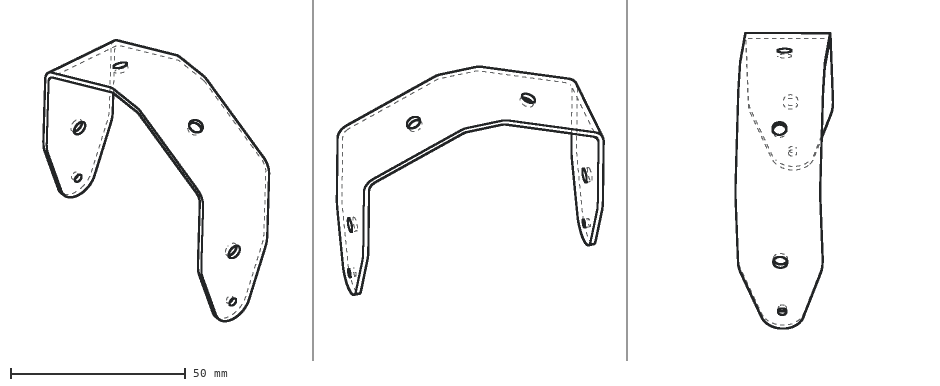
import cadquery as cq
import math

SPAN = 72.15
STRIP_WIDTH = 24.25
THICKNESS = 1.6
INNER_BEND_RADIUS = 3.0
OUTER_BEND_RADIUS = INNER_BEND_RADIUS + THICKNESS
CROWN_HALF_LENGTH = 6.2
SLOPE_ANGLE = 23.8
TILT_ANGLE = 1.7

TIP_RADIUS = 6.35
TIP_Z = -57.5
TAPER_ANGLE = 18.3
TAPER_CORNER_RADIUS = 12.0

LARGE_HOLE_DIAMETER = 4.05
SMALL_HOLE_DIAMETER = 2.4
LEG_HOLE_Z = -39.1
SHOULDER_HOLE_X = 17.3

half_span = SPAN / 2
half_width = STRIP_WIDTH / 2
slope = math.radians(SLOPE_ANGLE)
taper = math.radians(TAPER_ANGLE)
leg_bottom_z = TIP_Z - TIP_RADIUS


def arch_layer(offset, bend_radius):
    """Solid filling the arch inside a surface set in by offset from the outer one."""
    side_x = half_span - offset
    crown_x = CROWN_HALF_LENGTH - offset * math.tan(slope / 2)
    shoulder_z = -offset - (side_x - crown_x) * math.tan(slope)
    outline = [
        (-side_x, leg_bottom_z),
        (-side_x, shoulder_z),
        (-crown_x, -offset),
        (crown_x, -offset),
        (side_x, shoulder_z),
        (side_x, leg_bottom_z),
    ]
    layer = cq.Workplane("XZ").polyline(outline).close().extrude(half_width, both=True)
    bend_edges = layer.edges("|Y").edges(cq.selectors.BoxSelector(
        (-SPAN, -SPAN, leg_bottom_z / 2), (SPAN, SPAN, THICKNESS)))
    return layer.newObject(bend_edges.vals()).fillet(bend_radius)


def leg_outline():
    """Side outline of the strip, tapering to a rounded tip, extruded across the span."""
    tangent_y = TIP_RADIUS * math.cos(taper)
    tangent_z = TIP_Z - TIP_RADIUS * math.sin(taper)
    corner_z = tangent_z + (half_width - tangent_y) / math.tan(taper)
    outline = (
        cq.Workplane("YZ")
        .moveTo(-half_width, 0)
        .lineTo(half_width, 0)
        .lineTo(half_width, corner_z)
        .lineTo(tangent_y, tangent_z)
        .threePointArc((0, leg_bottom_z), (-tangent_y, tangent_z))
        .lineTo(-half_width, corner_z)
        .close()
        .extrude(half_span, both=True)
    )
    corner_margin = 0.7
    corners = outline.edges(cq.selectors.BoxSelector(
        (-SPAN, -SPAN, corner_z - corner_margin), (SPAN, SPAN, corner_z + corner_margin)))
    return corners.edges("|X").fillet(TAPER_CORNER_RADIUS)


def leg_hole(diameter, z):
    """Cutter through both legs."""
    return cq.Workplane("YZ").center(0, z).circle(diameter / 2).extrude(half_span, both=True)


def shoulder_hole(side):
    """Cutter square to the shoulder on the given side (-1 or 1)."""
    surface_z = -(SHOULDER_HOLE_X - CROWN_HALF_LENGTH) * math.tan(slope)
    centre = cq.Vector(side * SHOULDER_HOLE_X, 0, surface_z)
    normal = cq.Vector(side * math.sin(slope), 0, math.cos(slope))
    plane = cq.Plane(origin=centre, xDir=(0, 1, 0), normal=normal)
    return cq.Workplane(plane).circle(LARGE_HOLE_DIAMETER / 2).extrude(2 * THICKNESS, both=True)


bracket = arch_layer(0, OUTER_BEND_RADIUS).cut(arch_layer(THICKNESS, INNER_BEND_RADIUS))
bracket = bracket.intersect(leg_outline())
bracket = bracket.cut(leg_hole(LARGE_HOLE_DIAMETER, LEG_HOLE_Z))
bracket = bracket.cut(leg_hole(SMALL_HOLE_DIAMETER, TIP_Z))
for side in (-1, 1):
    bracket = bracket.cut(shoulder_hole(side))

result = bracket.rotate((0, 0, 0), (1, 0, 0), -TILT_ANGLE)